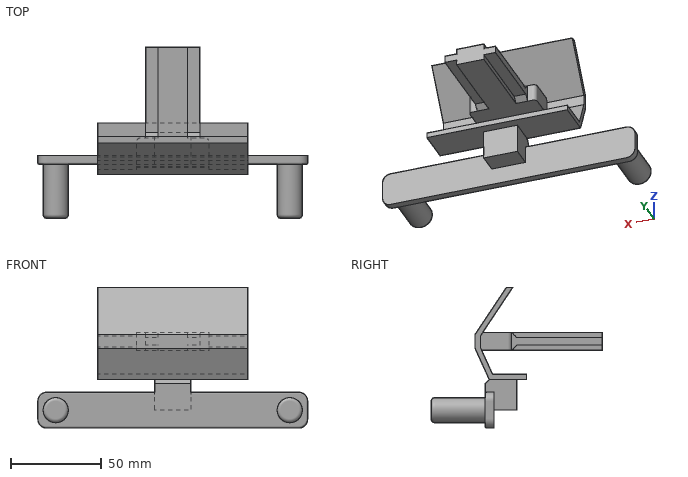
import cadquery as cq
import math


bar_length = 150.0
bar_height = 20.0
bar_thickness = 5.0
bar_corner_radius = 5.0
bar_edge_radius = 1.0
pin_diameter = 14.0
pin_length = 30.0
pin_spacing = 130.0
pin_tip_radius = 2.0

plate_width = 83.5
plate_thickness = 3.0
plate_bottom_z = 17.0
plate_top_z = 68.2
plate_flat_height = 7.6
plate_front_y = -5.7
flat_center_z = 38.2
upper_lean = math.radians(33.7)
lower_lean = math.radians(24.5)
flange_back_y = 23.1

foot_width = 20.0
foot_back_y = 17.6

stem_height = 10.0
stem_back_y = 65.1
stem_width = 30.0
core_width = 16.2
wing_thickness = 4.1
root_width = 40.0
root_back_y = 14.7
root_corner_radius = 2.1

flat_top_z = flat_center_z + plate_flat_height / 2
flat_bottom_z = flat_center_z - plate_flat_height / 2
plate_top_y = plate_front_y + (plate_top_z - flat_top_z) * math.tan(upper_lean)
plate_heel_y = plate_front_y + (flat_bottom_z - plate_bottom_z) * math.tan(lower_lean)
stem_front_y = plate_front_y + plate_thickness / 2


def extrude_across(points, width):
    """Prism with a (y, z) outline, centred on X = 0."""
    return cq.Workplane("YZ").polyline(points).close().extrude(width / 2, both=True)


def make_box(width, front_y, back_y, height, center_z):
    """Box centred on X = 0, between two Y positions."""
    depth = back_y - front_y
    center = (0, (front_y + back_y) / 2, center_z)
    return cq.Workplane("XY").box(width, depth, height).translate(center)


def make_bar():
    bar = make_box(bar_length, 0, bar_thickness, bar_height, 0)
    bar = bar.edges("|Y").fillet(bar_corner_radius)
    return bar.faces("<Y").edges().fillet(bar_edge_radius)


def make_pin(x):
    pin = cq.Workplane("XZ").center(x, 0).circle(pin_diameter / 2).extrude(pin_length)
    return pin.faces("<Y").edges().fillet(pin_tip_radius)


def make_plate():
    flange_bend = math.pi / 2 - lower_lean
    inner_heel_y = plate_heel_y + plate_thickness * math.tan(flange_bend / 2)
    outline = [
        (plate_top_y, plate_top_z),
        (plate_front_y, flat_top_z),
        (plate_front_y, flat_bottom_z),
        (plate_heel_y, plate_bottom_z),
        (flange_back_y, plate_bottom_z),
        (flange_back_y, plate_bottom_z + plate_thickness),
        (inner_heel_y, plate_bottom_z + plate_thickness),
        (plate_front_y + plate_thickness, flat_bottom_z + plate_thickness * math.tan(lower_lean / 2)),
        (plate_front_y + plate_thickness, flat_top_z - plate_thickness * math.tan(upper_lean / 2)),
        (plate_top_y + plate_thickness / math.cos(upper_lean), plate_top_z),
    ]
    return extrude_across(outline, plate_width)


def make_foot():
    outline = [
        (0, 0),
        (foot_back_y, 0),
        (foot_back_y, plate_bottom_z),
        (plate_heel_y, plate_bottom_z),
        (0, plate_bottom_z - plate_heel_y),
    ]
    return extrude_across(outline, foot_width)


def make_wings():
    half_wing = wing_thickness / 2
    half_height = stem_height / 2
    flare_back_y = root_back_y + half_height - half_wing
    outline = [
        (root_back_y, flat_center_z + half_height),
        (flare_back_y, flat_center_z + half_wing),
        (stem_back_y, flat_center_z + half_wing),
        (stem_back_y, flat_center_z - half_wing),
        (flare_back_y, flat_center_z - half_wing),
        (root_back_y, flat_center_z - half_height),
    ]
    return extrude_across(outline, stem_width)


def make_stem():
    core = make_box(core_width, stem_front_y, stem_back_y, stem_height, flat_center_z)
    root = make_box(root_width, stem_front_y, root_back_y, stem_height, flat_center_z)
    root = root.edges("|Z and >Y").fillet(root_corner_radius)
    return root.union(core).union(make_wings())


result = make_bar().union(make_foot()).union(make_plate()).union(make_stem())
for side in (-1, 1):
    result = result.union(make_pin(side * pin_spacing / 2))